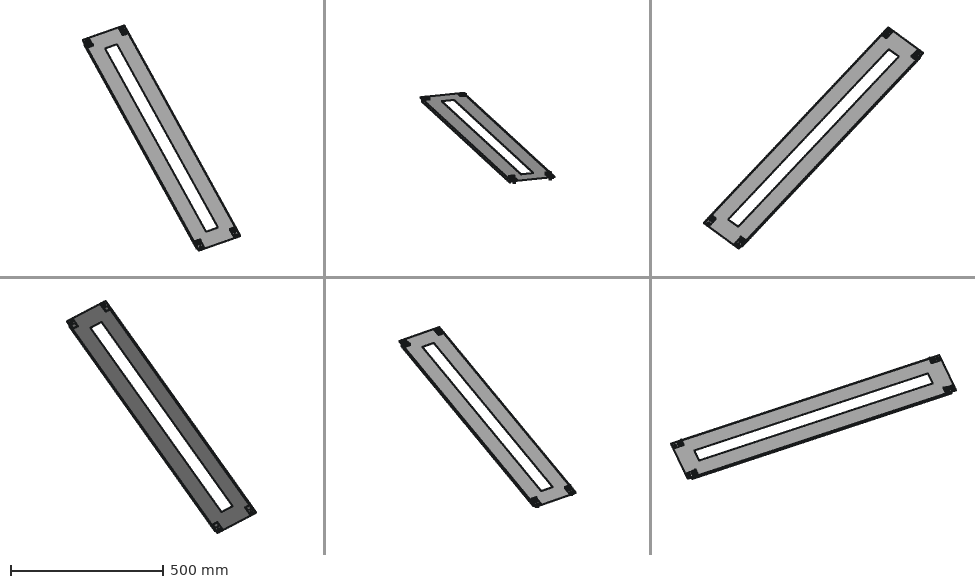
import cadquery as cq

LENGTH = 950.0
WIDTH = 150.0
HEIGHT = 19.0
KNOB_TOP = 8.1
UNDERSIDE = KNOB_TOP - HEIGHT

SHEET = 1.5
FLANGE_LENGTH = 918.0
WINDOW_LENGTH = 826.5
WINDOW_WIDTH = 43.0

BRACKET_LENGTH = 34.0
BRACKET_WIDTH = 20.0
BRACKET_THICKNESS = 0.6
BRACKET_END_GAP = 2.0
BRACKET_SIDE_GAP = 2.0
WALL_THICKNESS = 2.0
WALL_HEIGHT = 7.0
BRACKET_OUTER_X = LENGTH / 2 - BRACKET_END_GAP
BRACKET_INNER_X = BRACKET_OUTER_X - BRACKET_LENGTH
WALL_OUTER_X = BRACKET_INNER_X + WALL_THICKNESS
BRACKET_OUTER_Y = WIDTH / 2 - BRACKET_SIDE_GAP
BRACKET_INNER_Y = BRACKET_OUTER_Y - BRACKET_WIDTH
BRACKET_Y = (BRACKET_OUTER_Y + BRACKET_INNER_Y) / 2

PEG_RADIUS = 3.6
PEG_BORE_RADIUS = 2.0
PEG_SLOT_WIDTH = 2.0
PEG_INSET = 8.0
PEG_SIDE_OFFSET = 1.0
COLLAR_RADIUS = 5.0
COLLAR_HEIGHT = 3.2
PEG_X = BRACKET_OUTER_X - PEG_INSET
PEG_Y = BRACKET_Y - PEG_SIDE_OFFSET
COLLAR_BOTTOM = -SHEET - COLLAR_HEIGHT

KNOB_RADIUS = 8.1
CAP_RADIUS = 6.0
SHOULDER_TOP = 7.0
KNOB_SLOT_WIDTH = 2.0
KNOB_SLOT_BOTTOM = 3.0
KNOB_INSET = 8.1
KNOB_X = BRACKET_INNER_X + KNOB_INSET


def block(x_min, x_max, y_min, y_max, z_min, z_max):
    """A box between the given limits."""
    box = cq.Workplane().box(x_max - x_min, y_max - y_min, z_max - z_min, centered=False)
    return box.translate((x_min, y_min, z_min))


def cylinder(x, y, radius, z_min, z_max):
    """An upright cylinder about the point (x, y)."""
    return cq.Workplane().circle(radius).extrude(z_max - z_min).translate((x, y, z_min))


def at_four_corners(body):
    """The body of the +X, +Y corner and its mirror images in the other three corners."""
    copies = [body, body.mirror("YZ")]
    return copies + [copy.mirror("XZ") for copy in copies]


def make_panel():
    half_length = LENGTH / 2
    half_width = WIDTH / 2
    panel = block(-half_length, half_length, -half_width, half_width, -SHEET, 0)

    half_flange = FLANGE_LENGTH / 2
    flange = block(-half_flange, half_flange, half_width - SHEET, half_width, UNDERSIDE, 0)
    panel = panel.union(flange).union(flange.mirror("XZ"))

    window = cq.Workplane().box(WINDOW_LENGTH, WINDOW_WIDTH, 2 * SHEET)
    panel = panel.cut(window)

    for peg_hole in at_four_corners(cylinder(PEG_X, PEG_Y, PEG_RADIUS, -SHEET, 0)):
        panel = panel.cut(peg_hole)
    return panel


def make_bracket():
    base = block(
        BRACKET_INNER_X, BRACKET_OUTER_X, BRACKET_INNER_Y, BRACKET_OUTER_Y, 0, BRACKET_THICKNESS
    )
    wall = block(BRACKET_INNER_X, WALL_OUTER_X, BRACKET_INNER_Y, BRACKET_OUTER_Y, 0, WALL_HEIGHT)
    peg = cylinder(PEG_X, PEG_Y, PEG_RADIUS, UNDERSIDE, 0)
    collar = cylinder(PEG_X, PEG_Y, COLLAR_RADIUS, COLLAR_BOTTOM, -SHEET)
    bracket = base.union(wall).union(peg).union(collar)

    bore = cylinder(PEG_X, PEG_Y, PEG_BORE_RADIUS, UNDERSIDE, BRACKET_THICKNESS)
    half_slot = PEG_SLOT_WIDTH / 2
    slot = block(
        PEG_X - PEG_RADIUS, PEG_X + PEG_RADIUS, PEG_Y - half_slot, PEG_Y + half_slot,
        UNDERSIDE, COLLAR_BOTTOM,
    )
    return bracket.cut(bore).cut(slot)


def make_knob():
    disc = cylinder(KNOB_X, BRACKET_Y, KNOB_RADIUS, BRACKET_THICKNESS, SHOULDER_TOP)
    cap = cylinder(KNOB_X, BRACKET_Y, CAP_RADIUS, SHOULDER_TOP, KNOB_TOP)
    knob = disc.union(cap)

    knob = knob.cut(
        block(KNOB_X - KNOB_RADIUS, WALL_OUTER_X, BRACKET_INNER_Y, BRACKET_OUTER_Y, 0, KNOB_TOP)
    )

    slot_height = KNOB_TOP - KNOB_SLOT_BOTTOM
    slot = cq.Workplane().box(
        2 * KNOB_RADIUS, KNOB_SLOT_WIDTH, slot_height, centered=(True, True, False)
    )
    for angle in (0, 90):
        turned_slot = slot.rotate((0, 0, 0), (0, 0, 1), angle)
        knob = knob.cut(turned_slot.translate((KNOB_X, BRACKET_Y, KNOB_SLOT_BOTTOM)))
    return knob


panel = make_panel()
brackets = at_four_corners(make_bracket())
knobs = at_four_corners(make_knob())

result = cq.Compound.makeCompound([body.val() for body in [panel, *brackets, *knobs]])